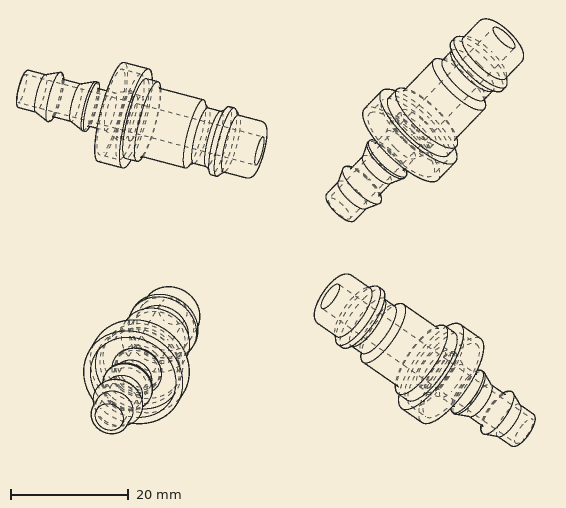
import cadquery as cq
import math

total_length = 42.5
bore_diameter = 4.95

stem_radius = 6.6 / 2
stem_tip_rounding = 0.4
barb_radius = 8.68 / 2
first_barb_start = 3.36
barb_pitch = 6.3
barb_cone_length = 2.4
barb_edge_width = 0.4
barb_back_fillet = 0.4
retaining_start = 15.84
retaining_cone_length = 2.5

ring_radius = 17.4 / 2
ring_inner_radius = 15 / 2
ring_start = 15.95
ring_end = 20.4
recess_depth = 3.4
neck_radius = 7.87 / 2

shoulder_radius = 14 / 2
shoulder_end = 22.5
shoulder_fillet = 0.75
plug_radius = 12 / 2
plug_end = 30.9
groove_radius = 9.75 / 2
groove_wall_length = 1.12
groove_wall_curve = 2.0
rib_start = 35.45
rib_end = 36.43
nose_radius = 10 / 2
nose_rounding = 1.05


def concave_arc(profile, start, end, arc_radius):
    """Continue the profile to end with an arc that sags toward the axis."""
    middle_x = (start[0] + end[0]) / 2
    middle_r = (start[1] + end[1]) / 2
    chord_x = end[0] - start[0]
    chord_r = end[1] - start[1]
    chord = math.hypot(chord_x, chord_r)
    sag = arc_radius - math.sqrt(arc_radius**2 - (chord / 2) ** 2)
    middle = (middle_x + sag * chord_r / chord, middle_r - sag * chord_x / chord)
    return profile.threePointArc(middle, end)


def quarter_arc(profile, start, end, center):
    """Continue the profile to end with a quarter circle about center."""
    radius = math.dist(start, center)
    toward_x = (start[0] + end[0]) / 2 - center[0]
    toward_r = (start[1] + end[1]) / 2 - center[1]
    reach = radius / math.hypot(toward_x, toward_r)
    middle = (center[0] + reach * toward_x, center[1] + reach * toward_r)
    return profile.threePointArc(middle, end)


def add_barb(profile, start, rounded_edge):
    """Add one barb: a cone, a rounded edge or narrow land, and a flat back with a filleted root."""
    cone_end = (start + barb_cone_length, barb_radius)
    back = cone_end[0] + barb_edge_width
    profile = profile.lineTo(start, stem_radius).lineTo(*cone_end)
    if rounded_edge:
        center = (cone_end[0], barb_radius - barb_edge_width)
        profile = quarter_arc(profile, cone_end, (back, center[1]), center)
    else:
        profile = profile.lineTo(back, barb_radius)
    fillet_top = (back, stem_radius + barb_back_fillet)
    fillet_end = (back + barb_back_fillet, stem_radius)
    profile = profile.lineTo(*fillet_top)
    return quarter_arc(profile, fillet_top, fillet_end, (fillet_end[0], fillet_top[1]))


def spin(profile):
    """Revolve a closed profile about the X axis."""
    return profile.close().revolve(360, (0, 0, 0), (1, 0, 0))


def make_nipple():
    """Make the hose stem, neck, plug and nose as one turned solid with a through bore."""
    bore_radius = bore_diameter / 2
    tip_start = (0, stem_radius - stem_tip_rounding)
    tip_end = (stem_tip_rounding, stem_radius)
    profile = cq.Workplane("XY").moveTo(0, bore_radius).lineTo(*tip_start)
    profile = quarter_arc(profile, tip_start, tip_end, (tip_end[0], tip_start[1]))
    profile = add_barb(profile, first_barb_start, rounded_edge=True)
    profile = add_barb(profile, first_barb_start + barb_pitch, rounded_edge=False)

    retaining_back = retaining_start + retaining_cone_length
    profile = profile.lineTo(retaining_start, stem_radius).lineTo(retaining_back, barb_radius)
    profile = profile.lineTo(retaining_back, neck_radius).lineTo(ring_end, neck_radius)
    profile = profile.lineTo(ring_end, shoulder_radius).lineTo(shoulder_end, shoulder_radius)
    fillet_top = (shoulder_end, plug_radius + shoulder_fillet)
    fillet_end = (shoulder_end + shoulder_fillet, plug_radius)
    profile = profile.lineTo(*fillet_top)
    profile = quarter_arc(profile, fillet_top, fillet_end, (fillet_end[0], fillet_top[1]))

    front_wall_top = (plug_end, plug_radius)
    front_wall_foot = (plug_end + groove_wall_length, groove_radius)
    back_wall_foot = (rib_start - groove_wall_length, groove_radius)
    back_wall_top = (rib_start, plug_radius)
    profile = profile.lineTo(*front_wall_top)
    profile = concave_arc(profile, front_wall_top, front_wall_foot, groove_wall_curve)
    profile = profile.lineTo(*back_wall_foot)
    profile = concave_arc(profile, back_wall_foot, back_wall_top, groove_wall_curve)

    nose_start = rib_end + plug_radius - nose_radius
    round_start = (total_length - nose_rounding, nose_radius)
    round_end = (total_length, nose_radius - nose_rounding)
    profile = profile.lineTo(rib_end, plug_radius).lineTo(nose_start, nose_radius).lineTo(*round_start)
    profile = quarter_arc(profile, round_start, round_end, (round_start[0], round_end[1]))
    return spin(profile.lineTo(total_length, bore_radius))


def make_ring():
    """Make the cup-shaped ring whose floor fits around the neck."""
    recess_floor = ring_start + recess_depth
    wall = cq.Workplane("YZ", origin=(ring_start, 0, 0)).circle(ring_radius)
    wall = wall.circle(ring_inner_radius).extrude(recess_depth)
    floor = cq.Workplane("YZ", origin=(recess_floor, 0, 0)).circle(ring_radius)
    floor = floor.circle(neck_radius).extrude(ring_end - recess_floor)
    return wall.union(floor)


nipple = make_nipple()
ring = make_ring()
result = cq.Compound.makeCompound([nipple.val(), ring.val()])